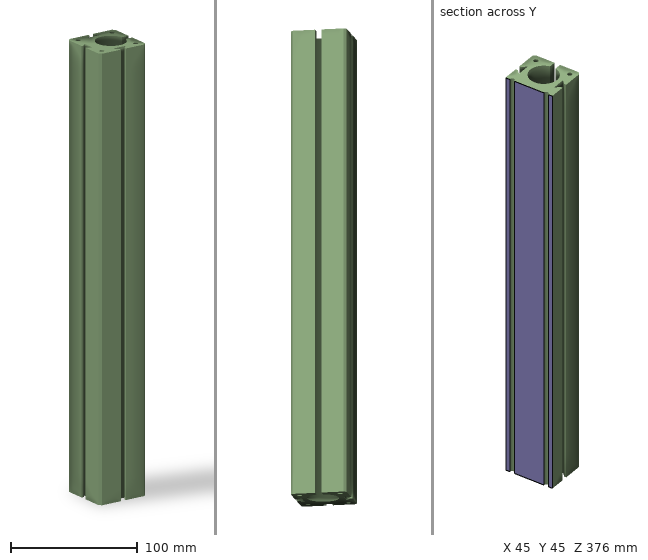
import cadquery as cq

length = 376.0
width = 45.0
corner_chamfer = 2.05
bore_diameter = 25.5
bore_offset = 3.8
screw_hole_diameter = 4.0
screw_hole_spacing = 32.7
slit_width = 5.3
side_slot_opening = 5.0
side_slot_floor_width = 12.5
side_slot_depth = 5.5
front_slot_opening = 5.3
front_slot_floor_width = 11.0
front_slot_depth = 5.0
slot_lip = 2.0

half_width = width / 2


def make_bar():
    bar = cq.Workplane("XY").rect(width, width).extrude(length)
    return bar.edges("|Z").chamfer(corner_chamfer)


def make_dovetail_slot(opening, floor_width, depth, angle):
    """Undercut slot on the -Y face, turned about the bar axis by angle degrees."""
    face_y = -half_width
    lip_y = face_y + slot_lip
    floor_y = face_y + depth
    half_opening = opening / 2
    half_floor = floor_width / 2
    outline = [
        (-half_opening, face_y),
        (-half_opening, lip_y),
        (-half_floor, floor_y),
        (half_floor, floor_y),
        (half_opening, lip_y),
        (half_opening, face_y),
    ]
    slot = cq.Workplane("XY").polyline(outline).close().extrude(length)
    return slot.rotate((0, 0, 0), (0, 0, 1), angle)


def make_open_bore():
    """Round bore with a straight slit through the +Y wall."""
    bore = cq.Workplane("XY").center(0, bore_offset).circle(bore_diameter / 2).extrude(length)
    slit_length = half_width - bore_offset
    slit = (
        cq.Workplane("XY")
        .center(0, bore_offset + slit_length / 2)
        .rect(slit_width, slit_length)
        .extrude(length)
    )
    return bore.union(slit)


def make_screw_holes():
    return (
        cq.Workplane("XY")
        .rect(screw_hole_spacing, screw_hole_spacing, forConstruction=True)
        .vertices()
        .circle(screw_hole_diameter / 2)
        .extrude(length)
    )


result = make_bar().cut(make_open_bore()).cut(make_screw_holes())
result = result.cut(make_dovetail_slot(front_slot_opening, front_slot_floor_width, front_slot_depth, 0))
for side_angle in (-90, 90):
    side_slot = make_dovetail_slot(side_slot_opening, side_slot_floor_width, side_slot_depth, side_angle)
    result = result.cut(side_slot)